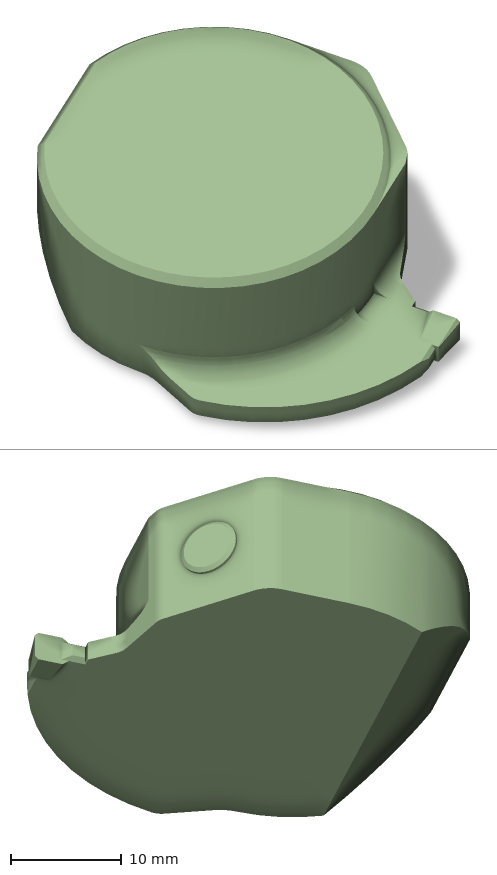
import cadquery as cq
import math

shank_radius = 16.0
shank_height = 13.5
top_chamfer = 0.67
flat_distance = 15.0
slope_height = 7.4
shoulder_height = shank_height - top_chamfer

plate_height = 2.0
blend_radius = 1.55
plate_end = 23.72
plate_end_chamfer = 0.35

outer_radius = 20.65
outer_center = (4.2, 1.85)
flare_radius = 4.9
flare_angle = math.radians(25)
toe_radius = 1.98
diagonal_distance = 16.8
shoulder_radius = 3.35
hip_x = 15.52
hip_radius = 1.98
heel_x = 17.2
heel_y = 2.85
heel_radius = 1.98
lip_x = 19.75
lip_y = 0.75

pad_diameter = 5.5
pad_top_diameter = 4.75
pad_rim_height = 0.255
pad_height = 0.5
pad_root = 0.4
pad_z = shoulder_height / 2

insert_depth = 3.45
insert_back = 15.45
insert_tip = 24.6
head_overhang = 0.5
head_back = 21.35
head_top_back = 21.95
head_corner = 0.35
clearance_angle = 9
bump_height = 0.45
bump_crest = (19.95, 21.15)
bump_end = 22.05
bump_bevel = 0.4


def box(x_range, y_range, z_range):
    """Box between two limits on each axis."""
    size = [high - low for low, high in (x_range, y_range, z_range)]
    corner = (x_range[0], y_range[0], z_range[0])
    return cq.Workplane("XY").box(*size, centered=False).translate(corner)


def make_shank():
    shank = cq.Workplane("XY").circle(shank_radius).extrude(shank_height)
    reach = 2 * shank_radius
    shank = shank.intersect(
        box((-flat_distance, reach), (-reach, reach), (0, shank_height))
    )
    shank = shank.faces(">Z").edges().chamfer(top_chamfer)
    slope = (
        cq.Workplane("XZ")
        .moveTo(-flat_distance, 0)
        .lineTo(-flat_distance + slope_height, 0)
        .lineTo(-flat_distance, slope_height)
        .close()
        .extrude(shank_radius, both=True)
    )
    return shank.cut(slope)


def make_outline_prism():
    """Plate and shoulder outline, as tall as the shoulder."""
    diagonal_sum = diagonal_distance * math.sqrt(2)
    shoulder_x = diagonal_sum - shank_radius
    hip_y = diagonal_sum - hip_x

    def flare_point(angle):
        drop = flare_radius * (1 - math.cos(angle))
        return flare_radius * math.sin(angle), -shank_radius - drop

    flare_end = flare_point(flare_angle)
    far_y = flare_end[1] - (plate_end - flare_end[0]) * math.tan(flare_angle)
    prism = (
        cq.Workplane("XY")
        .moveTo(0, -shank_radius)
        .threePointArc(flare_point(flare_angle / 2), flare_end)
        .lineTo(plate_end, far_y)
        .lineTo(plate_end, 0)
        .lineTo(lip_x, 0)
        .lineTo(lip_x, lip_y)
        .lineTo(heel_x, heel_y)
        .lineTo(hip_x, hip_y)
        .lineTo(shoulder_x, shank_radius)
        .lineTo(0, shank_radius)
        .close()
        .extrude(shoulder_height)
    )
    limit = cq.Workplane("XY").center(*outer_center).circle(outer_radius).extrude(shoulder_height)
    prism = prism.intersect(limit)

    corners = [
        (shoulder_x, shank_radius, shoulder_radius),
        (hip_x, hip_y, hip_radius),
        (heel_x, heel_y, heel_radius),
        (outer_center[0], outer_center[1] - outer_radius, toe_radius),
    ]
    for x, y, radius in corners:
        nearest = cq.selectors.NearestToPointSelector((x, y, shoulder_height / 2))
        prism = prism.edges("|Z").edges(nearest).fillet(radius)
    return prism


def blend_profile():
    """Hollow quarter round between the shank wall and the plate, in XZ."""
    middle = blend_radius * (1 - math.sqrt(0.5))
    return (
        cq.Workplane("XZ")
        .moveTo(shank_radius + blend_radius, plate_height)
        .threePointArc(
            (shank_radius + middle, plate_height + middle),
            (shank_radius, plate_height + blend_radius),
        )
        .lineTo(shank_radius - blend_radius, plate_height + blend_radius)
        .lineTo(shank_radius - blend_radius, plate_height)
        .close()
    )


def make_blends(prism):
    """Ring blend on the -Y side of the insert and straight blend on the +Y side."""
    ring = blend_profile().revolve(90, (0, 0, 0), (0, -1, 0))
    straight = blend_profile().extrude(-shank_radius)
    return ring.union(straight).intersect(prism)


def make_pad():
    diagonal = diagonal_distance * math.sqrt(0.5)
    face = cq.Plane(origin=(diagonal, diagonal, pad_z), xDir=(-1, 1, 0), normal=(1, 1, 0))
    rim = (
        cq.Workplane(face)
        .workplane(offset=-pad_root)
        .circle(pad_diameter / 2)
        .extrude(pad_root + pad_rim_height)
    )
    crown = (
        cq.Workplane(face)
        .workplane(offset=pad_rim_height)
        .circle(pad_diameter / 2)
        .workplane(offset=pad_height - pad_rim_height)
        .circle(pad_top_diameter / 2)
        .loft()
    )
    return rim.union(crown)


def make_holder():
    prism = make_outline_prism()
    plate = prism.intersect(box((0, plate_end), (-outer_radius, outer_radius), (0, plate_height)))
    shoulder = prism.intersect(box((0, shank_radius), (0, shank_radius), (0, shoulder_height)))
    seat = box((insert_back, insert_tip), (-insert_depth, 0), (0, plate_height))
    seat_clearance = box(
        (insert_back, insert_tip), (-insert_depth, 0), (plate_height, plate_height + blend_radius)
    )
    plate = plate.cut(seat).faces(">X").edges("|Y").chamfer(plate_end_chamfer)
    blends = make_blends(prism).cut(seat_clearance)
    return make_shank().cut(seat).union(shoulder.cut(seat)).union(plate).union(blends).union(make_pad())


def make_insert():
    taper = math.tan(math.radians(clearance_angle))
    blade = (
        cq.Workplane("XY")
        .moveTo(insert_back, 0)
        .lineTo(insert_tip, 0)
        .lineTo(insert_tip - insert_depth * taper, -insert_depth)
        .lineTo(insert_back, -insert_depth)
        .close()
        .extrude(plate_height)
    )
    head_top = plate_height + head_overhang
    head = (
        cq.Workplane("XZ")
        .moveTo(head_back, 0)
        .lineTo(head_top_back, -head_overhang)
        .lineTo(insert_tip - head_corner, -head_overhang)
        .lineTo(insert_tip, -head_overhang + head_corner)
        .lineTo(insert_tip, head_top - head_corner)
        .lineTo(insert_tip - head_corner, head_top)
        .lineTo(head_top_back, head_top)
        .lineTo(head_back, plate_height)
        .close()
        .extrude(insert_depth, taper=clearance_angle)
    )
    base_middle = (lip_x + bump_end) / 2
    crest_middle = (bump_crest[0] + bump_crest[1]) / 2
    bump = (
        cq.Workplane("XZ")
        .center(base_middle, plate_height / 2)
        .rect(bump_end - lip_x, plate_height)
        .workplane(offset=-bump_height)
        .center(crest_middle - base_middle, 0)
        .rect(bump_crest[1] - bump_crest[0], plate_height - 2 * bump_bevel)
        .loft()
    )
    return blade.union(head).union(bump)


holder = make_holder()
insert = make_insert()
result = cq.Compound.makeCompound([holder.solids().val(), insert.solids().val()])